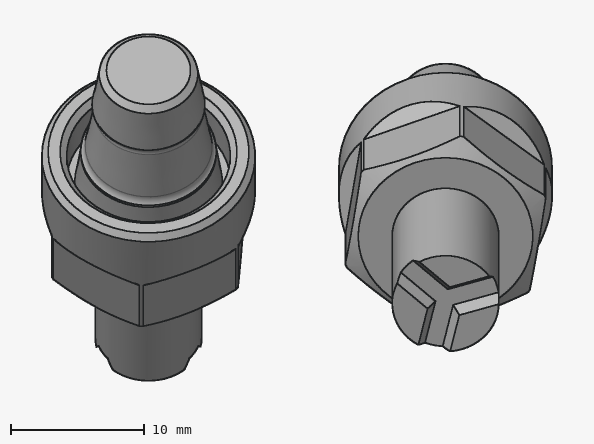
import cadquery as cq
import math

total_height = 33.85
stem_radius = 4.0
cut_margin = 0.35

nut_radius = 15.98 / 2
nut_bottom = 11.5
nut_top = 23.53
nut_top_chamfer = 0.47
hex_sides = 6
hex_flats = 14.0
hex_turn = -4.0
hex_top = 17.5
hex_base_radius = 6.55
hex_chamfer_angle = 30.0
bore_radius = 6.13
bore_mouth_radius = 13.25 / 2

ring_max_radius = 5.52
seat_z = 19.85

tip_flat_radius = 3.15
tip_radius = 3.7
tip_chamfer = 0.45
lip_radius = 4.23
lip_z = 29.53
neck_radius = 4.05
neck_z = 29.2
cone_top_radius = 4.1
cone_top_z = 28.8
cone_radius = 9.5 / 2
cone_z = 24.38
flare_mid_radius = 4.85
flare_mid_z = 24.0
collar_radius = 5.08
collar_z = 23.7
collar_bottom = 23.45

slot_count = 3
slot_start_angle = 30.0
slot_depth = 0.88
slot_mouth = 2.45
slot_floor = 1.35


def make_nut():
    """Round nut with a hexagonal lower half, top bore and flat ring seat."""
    outer_chamfer_height = (nut_radius - hex_base_radius) * math.tan(math.radians(hex_chamfer_angle))
    blank = (
        cq.Workplane("XZ")
        .moveTo(stem_radius, nut_bottom)
        .lineTo(hex_base_radius, nut_bottom)
        .lineTo(nut_radius, nut_bottom + outer_chamfer_height)
        .lineTo(nut_radius, nut_top - nut_top_chamfer)
        .lineTo(nut_radius - nut_top_chamfer, nut_top)
        .lineTo(bore_mouth_radius, nut_top)
        .lineTo(bore_radius, nut_top - (bore_mouth_radius - bore_radius))
        .lineTo(bore_radius, seat_z)
        .lineTo(stem_radius, seat_z)
        .close()
        .revolve(360, (0, 0, 0), (0, 1, 0))
    )
    apothem = hex_flats / 2
    cut_reach = nut_radius + cut_margin
    cutter = (
        cq.Workplane("XZ")
        .moveTo(apothem, nut_bottom)
        .lineTo(cut_reach, nut_bottom)
        .lineTo(cut_reach, hex_top + cut_reach - apothem)
        .lineTo(apothem, hex_top)
        .close()
        .extrude(cut_reach, both=True)
    )
    for side in range(hex_sides):
        blank = blank.cut(cutter.rotate((0, 0, 0), (0, 0, 1), hex_turn + side * 360 / hex_sides))
    return blank


def make_ring():
    """Tapered compression ring between the plug collar and the nut seat."""
    return (
        cq.Workplane("XZ")
        .moveTo(stem_radius, seat_z)
        .lineTo(ring_max_radius, seat_z)
        .lineTo(collar_radius, collar_bottom)
        .lineTo(stem_radius, collar_bottom)
        .close()
        .revolve(360, (0, 0, 0), (0, 1, 0))
    )


def make_slot():
    """Trapezoidal radial slot from the axis outward along +X."""
    return (
        cq.Workplane("YZ")
        .moveTo(-slot_mouth / 2, 0)
        .lineTo(slot_mouth / 2, 0)
        .lineTo(slot_floor / 2, slot_depth)
        .lineTo(-slot_floor / 2, slot_depth)
        .close()
        .extrude(stem_radius + cut_margin)
    )


def make_plug():
    """Solid cone with a lip and a flared collar, on a slotted stem."""
    plug = (
        cq.Workplane("XZ")
        .moveTo(0, 0)
        .lineTo(stem_radius, 0)
        .lineTo(stem_radius, collar_bottom)
        .lineTo(collar_radius, collar_bottom)
        .lineTo(collar_radius, collar_z)
        .threePointArc((flare_mid_radius, flare_mid_z), (cone_radius, cone_z))
        .lineTo(cone_top_radius, cone_top_z)
        .threePointArc((neck_radius, neck_z), (lip_radius, lip_z))
        .lineTo(tip_radius, total_height - tip_chamfer)
        .lineTo(tip_flat_radius, total_height)
        .lineTo(0, total_height)
        .close()
        .revolve(360, (0, 0, 0), (0, 1, 0))
    )
    slot = make_slot()
    for index in range(slot_count):
        plug = plug.cut(slot.rotate((0, 0, 0), (0, 0, 1), slot_start_angle + index * 360 / slot_count))
    return plug


nut = make_nut()
ring = make_ring()
plug = make_plug()

result = cq.Compound.makeCompound([nut.val(), ring.val(), plug.val()])